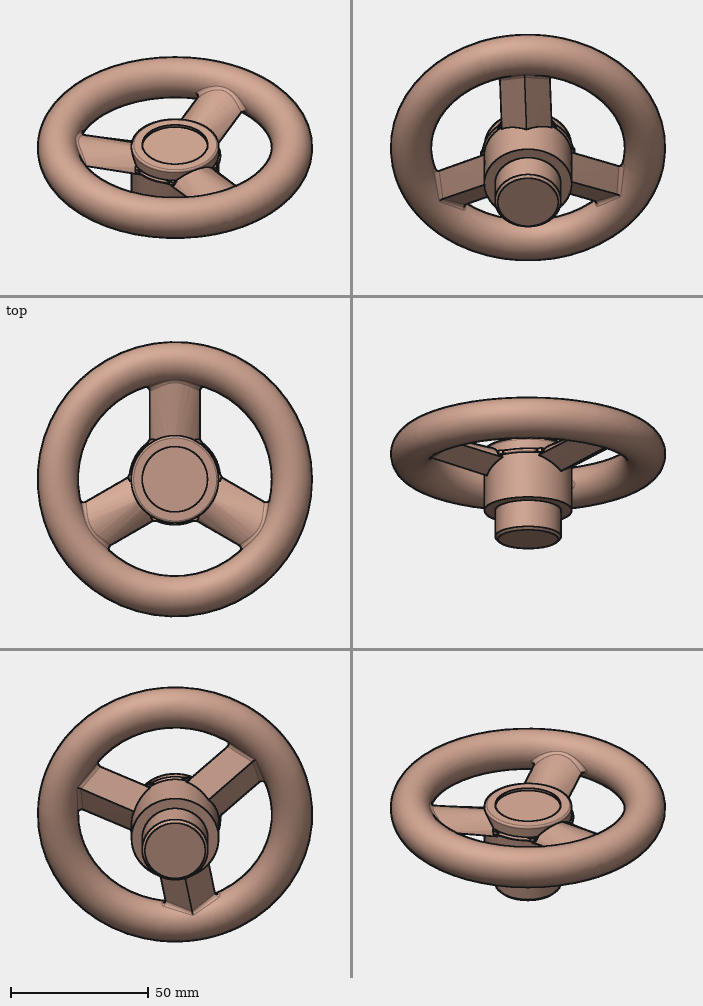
import cadquery as cq
import math

outer_diameter = 99.9
rim_thickness = 14.8
total_height = 40.0
rim_path_radius = (outer_diameter - rim_thickness) / 2
rim_height = total_height - rim_thickness / 2

hub_diameter = 31.8
hub_bottom = 11.0
hub_top = 34.0
hub_edge_fillet = 0.8
stub_diameter = 24.0
stub_chamfer = 1.0
recess_diameter = 23.8
recess_depth = 1.0

bead_height = 28.9
bead_radius = 0.7

web_length = 1.5
web_embed = 2.0

spoke_count = 3
first_spoke_angle = 90.0
spoke_width = 18.3
spoke_ridge_height = 22.7
hub_v_depth = 5.2
rim_v_depth = 4.6
spoke_crown_height = 33.0
crown_slope = 0.14
spoke_slope = math.tan(math.radians(12.0))
spoke_start = 8.0
spoke_end = rim_path_radius
spoke_fillet = 1.5


def make_rim():
    return (
        cq.Workplane("XZ")
        .center(rim_path_radius, rim_height)
        .circle(rim_thickness / 2)
        .revolve(360, (-rim_path_radius, 0), (-rim_path_radius, 1))
    )


def make_hub():
    stub = cq.Workplane("XY").circle(stub_diameter / 2).extrude(hub_bottom)
    stub = stub.faces("<Z").chamfer(stub_chamfer)
    hub = cq.Workplane("XY", origin=(0, 0, hub_bottom))
    hub = hub.circle(hub_diameter / 2).extrude(hub_top - hub_bottom)
    hub = hub.faces(">Z").edges().fillet(hub_edge_fillet)
    return hub.union(stub)


def make_bead():
    hub_radius = hub_diameter / 2
    return (
        cq.Workplane("XZ")
        .center(hub_radius, bead_height)
        .circle(bead_radius)
        .revolve(360, (-hub_radius, 0), (-hub_radius, 1))
    )


def draw_spoke_section(plane, half_width, ridge, v_depth, crown):
    edge = ridge + v_depth
    return (
        plane.moveTo(0, ridge)
        .lineTo(half_width, edge)
        .threePointArc((0, crown), (-half_width, edge))
        .close()
    )


def make_spoke(angle):
    half_width = spoke_width / 2
    run = spoke_end - spoke_start
    start_ridge = spoke_ridge_height + spoke_slope * (spoke_start - hub_diameter / 2)
    end_ridge = start_ridge + spoke_slope * run
    start_crown = spoke_crown_height + crown_slope * (spoke_start - hub_diameter / 2)
    end_crown = start_crown + crown_slope * run
    spoke = cq.Workplane("YZ", origin=(spoke_start, 0, 0))
    spoke = draw_spoke_section(spoke, half_width, start_ridge, hub_v_depth, start_crown)
    spoke = draw_spoke_section(spoke.workplane(offset=run), half_width, end_ridge, rim_v_depth, end_crown)
    spoke = spoke.loft(ruled=True)
    return spoke.rotate((0, 0, 0), (0, 0, 1), angle)


def make_webs(angle):
    corner_x = spoke_width / 2
    corner_y = math.sqrt((hub_diameter / 2) ** 2 - corner_x**2)
    web = (
        cq.Workplane("XY", origin=(0, 0, bead_height - bead_radius))
        .moveTo(corner_x - web_embed, corner_y + web_length)
        .lineTo(corner_x, corner_y + web_length)
        .lineTo(corner_x + web_length, corner_y - web_length / 2)
        .lineTo(corner_x - web_embed, corner_y - web_embed)
        .close()
        .extrude(2 * bead_radius)
    )
    return web.union(web.mirror("YZ")).rotate((0, 0, 0), (0, 0, 1), angle - 90)


def make_recess():
    floor = cq.Workplane("XY", origin=(0, 0, hub_top - recess_depth))
    return floor.circle(recess_diameter / 2).extrude(recess_depth)


def distance_from_axis(point):
    return math.hypot(point.x, point.y)


wheel = make_rim()
for index in range(spoke_count):
    wheel = wheel.union(make_spoke(first_spoke_angle + index * 360 / spoke_count))

joint_edges = [
    edge
    for edge in wheel.edges().vals()
    if distance_from_axis(edge.Center()) < rim_path_radius - 1
    and min(distance_from_axis(edge.positionAt(0)), distance_from_axis(edge.positionAt(1))) > hub_diameter
]
wheel = wheel.newObject(joint_edges).fillet(spoke_fillet)

result = wheel.union(make_hub()).union(make_bead()).cut(make_recess())
for index in range(spoke_count):
    result = result.union(make_webs(first_spoke_angle + index * 360 / spoke_count))